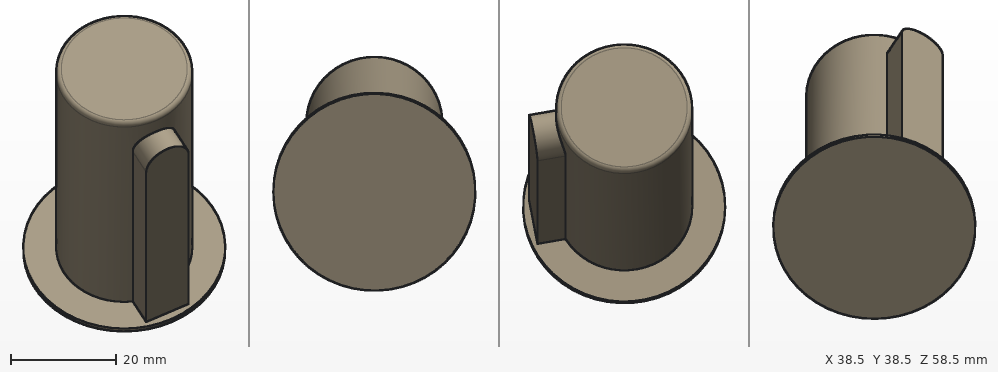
import cadquery as cq

total_height = 58.5
flange_diameter = 38.5
flange_thickness = 1.0
body_diameter = 26.0
top_face_diameter = 24.0
top_edge_radius = (body_diameter - top_face_diameter) / 2

rib_reach = 17.6
rib_width = 9.1
rib_top = 54.0
rib_radius = rib_width / 2
rib_straight_top = rib_top - rib_radius


def make_flange():
    return cq.Workplane("XY").circle(flange_diameter / 2).extrude(flange_thickness)


def make_body():
    body = cq.Workplane("XY").circle(body_diameter / 2).extrude(total_height)
    return body.faces(">Z").edges().fillet(top_edge_radius)


def make_rib():
    return (
        cq.Workplane("YZ")
        .moveTo(-rib_radius, 0)
        .lineTo(rib_radius, 0)
        .lineTo(rib_radius, rib_straight_top)
        .threePointArc((0, rib_top), (-rib_radius, rib_straight_top))
        .close()
        .extrude(rib_reach)
    )


result = make_flange().union(make_body()).union(make_rib())